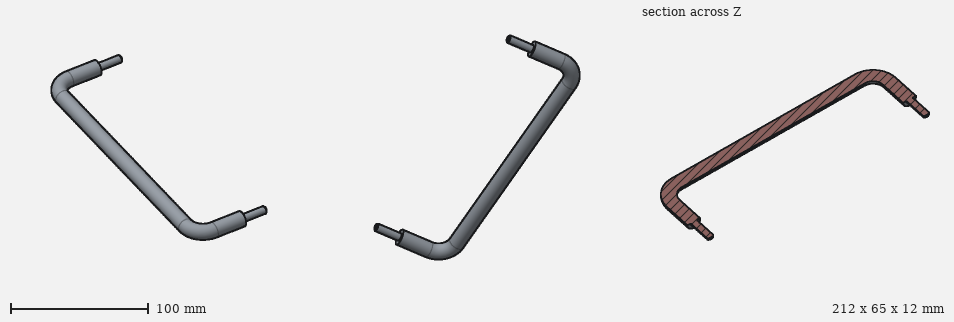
import cadquery as cq

rod_diameter = 12.0
leg_spacing = 200.0
handle_height = 45.0
bend_radius = 15.0
stud_diameter = 6.0
stud_length = 20.0
stud_chamfer = 1.0

rod_radius = rod_diameter / 2
half_spacing = leg_spacing / 2
grip_y = rod_radius - handle_height
bend_end_x = half_spacing - bend_radius
bend_end_y = grip_y + bend_radius


def bent_rod():
    """Round rod swept along a U: leg, bend, grip, bend, leg."""
    centreline = (
        cq.Workplane("XY")
        .moveTo(-half_spacing, 0)
        .lineTo(-half_spacing, bend_end_y)
        .radiusArc((-bend_end_x, grip_y), -bend_radius)
        .lineTo(bend_end_x, grip_y)
        .radiusArc((half_spacing, bend_end_y), -bend_radius)
        .lineTo(half_spacing, 0)
    )
    section = cq.Workplane("XZ", origin=(-half_spacing, 0, 0)).circle(rod_radius)
    return section.sweep(centreline)


def stud(x):
    """Chamfered stud standing on the leg shoulder at the given X, pointing to +Y."""
    return (
        cq.Workplane("XZ", origin=(x, 0, 0))
        .circle(stud_diameter / 2)
        .extrude(-stud_length)
        .faces(">Y")
        .chamfer(stud_chamfer)
    )


result = bent_rod()
for leg_x in (-half_spacing, half_spacing):
    result = result.union(stud(leg_x))